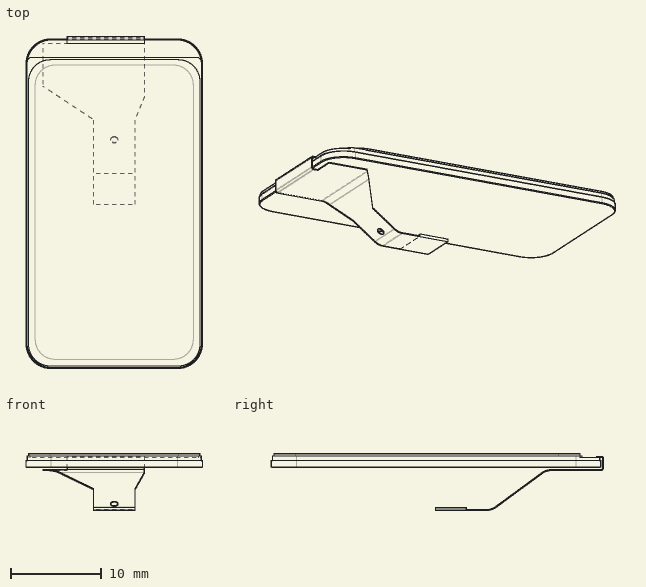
import cadquery as cq
import math


display_width = 19.4
display_bottom = -18.25
display_top = 17.98
display_radius = 2.77

underside_chamfer = 0.09
backlight_height = 0.75
rear_glass_height = 1.13
front_glass_height = 1.28
cover_height = 1.53

glass_inset = 0.128
glass_radius = display_radius - glass_inset
front_glass_top = 15.9
front_glass_chamfer = 0.22

cover_inset = 0.3
cover_top = 15.7
cover_radius = 2.37

active_margin = 0.73
active_top = 15.1
active_radius = 2.2

flex_thickness = 0.1
flex_outer_y = 18.25
flex_left = -5.18
flex_right = 3.32
flex_tab_left = -7.8
flex_ledge_end = 17.47
flex_tail_half_width = 2.3
flex_end = -0.22
flex_lower_leg = -0.275
flex_bottom = -4.7

upper_fold_radius = 0.1
lower_fold_radius = 0.22
ramp_bend_radius = 1.65
ramp_top = 11.95
ramp_bottom = 5.98
tail_z = flex_bottom + flex_thickness / 2
ramp_angle = math.atan2(flex_lower_leg - tail_z, ramp_top - ramp_bottom)

left_taper_start = 12.75
right_taper_start = 11.6
taper_end = 9.1

stiffener_start = 3.2
stiffener_thickness = 0.22
hole_diameter = 0.8
hole_center_y = 6.9


def rounded_plate(inset, top, radius, z_low, z_high):
    """Plate with rounded corners, inset from the sides and lower end of the display."""
    width = display_width - 2 * inset
    bottom = display_bottom + inset
    return (
        cq.Workplane("XY", origin=(0, (top + bottom) / 2, z_low))
        .rect(width, top - bottom)
        .extrude(z_high - z_low)
        .edges("|Z")
        .fillet(radius)
    )


def make_display():
    """Backlight, two glass sheets and cover as one body, and the active area as a second."""
    backlight = rounded_plate(0, display_top, display_radius, 0, backlight_height)
    backlight = backlight.faces("<Z").chamfer(underside_chamfer)

    glass_top = display_top - glass_inset
    rear_glass = rounded_plate(
        glass_inset, glass_top, glass_radius, backlight_height, rear_glass_height
    )
    front_glass = rounded_plate(
        glass_inset, glass_top, glass_radius, rear_glass_height, front_glass_height
    )
    ledge_space = cq.Workplane("XY", origin=(0, front_glass_top, rear_glass_height)).box(
        display_width,
        display_top - front_glass_top,
        front_glass_height - rear_glass_height,
        centered=(True, False, False),
    )
    front_glass = front_glass.cut(ledge_space)
    front_glass = front_glass.faces(">Y").edges("|Z").chamfer(front_glass_chamfer)

    cover = rounded_plate(cover_inset, cover_top, cover_radius, front_glass_height, cover_height)
    display = backlight.union(rear_glass).union(front_glass).union(cover)

    active_inset = cover_inset + active_margin
    active_area = rounded_plate(
        active_inset, active_top, active_radius, front_glass_height, cover_height
    )
    return display, active_area


def make_flex_band():
    """Folded strip, as wide as its widest part, swept along its mid-plane in the YZ plane."""
    ledge_z = rear_glass_height + flex_thickness / 2
    fold_y = flex_outer_y - flex_thickness / 2

    bend_length = ramp_bend_radius * math.tan(ramp_angle / 2)
    bend_y = bend_length * math.cos(ramp_angle)
    bend_z = bend_length * math.sin(ramp_angle)

    path = (
        cq.Workplane("YZ")
        .moveTo(flex_ledge_end, ledge_z)
        .lineTo(fold_y - upper_fold_radius, ledge_z)
        .tangentArcPoint((fold_y, ledge_z - upper_fold_radius), relative=False)
        .lineTo(fold_y, flex_lower_leg + lower_fold_radius)
        .tangentArcPoint((fold_y - lower_fold_radius, flex_lower_leg), relative=False)
        .lineTo(ramp_top + bend_length, flex_lower_leg)
        .tangentArcPoint((ramp_top - bend_y, flex_lower_leg - bend_z), relative=False)
        .lineTo(ramp_bottom + bend_y, tail_z + bend_z)
        .tangentArcPoint((ramp_bottom - bend_length, tail_z), relative=False)
        .lineTo(flex_end, tail_z)
    )
    section = cq.Workplane("XZ", origin=(0, flex_ledge_end, ledge_z))
    return section.rect(2 * abs(flex_tab_left), flex_thickness).sweep(path)


def make_flex():
    """Folded strip trimmed to its outline, with the tail stiffener and the hole in the ramp."""
    outline = (
        cq.Workplane("XY", origin=(0, 0, flex_bottom))
        .polyline([
            (flex_left, flex_outer_y),
            (flex_left, flex_ledge_end),
            (flex_tab_left, flex_ledge_end),
            (flex_tab_left, left_taper_start),
            (-flex_tail_half_width, taper_end),
            (-flex_tail_half_width, flex_end),
            (flex_tail_half_width, flex_end),
            (flex_tail_half_width, taper_end),
            (flex_right, right_taper_start),
            (flex_right, flex_outer_y),
        ])
        .close()
        .extrude(cover_height - flex_bottom)
    )
    flex = make_flex_band().intersect(outline)

    stiffener_bottom = flex_bottom + flex_thickness
    stiffener = cq.Workplane("XY", origin=(0, flex_end, stiffener_bottom)).box(
        2 * flex_tail_half_width,
        stiffener_start - flex_end,
        stiffener_thickness,
        centered=(True, False, False),
    )
    flex = flex.union(stiffener)

    hole_center_z = tail_z + (hole_center_y - ramp_bottom) * math.tan(ramp_angle)
    ramp_normal = (0, -math.sin(ramp_angle), math.cos(ramp_angle))
    hole_plane = cq.Plane(
        origin=(0, hole_center_y, hole_center_z), xDir=(1, 0, 0), normal=ramp_normal
    )
    hole = cq.Workplane(hole_plane).circle(hole_diameter / 2).extrude(flex_thickness, both=True)
    return flex.cut(hole)


display, active_area = make_display()
body = display.union(make_flex()).cut(active_area)
result = body.union(active_area, clean=False)